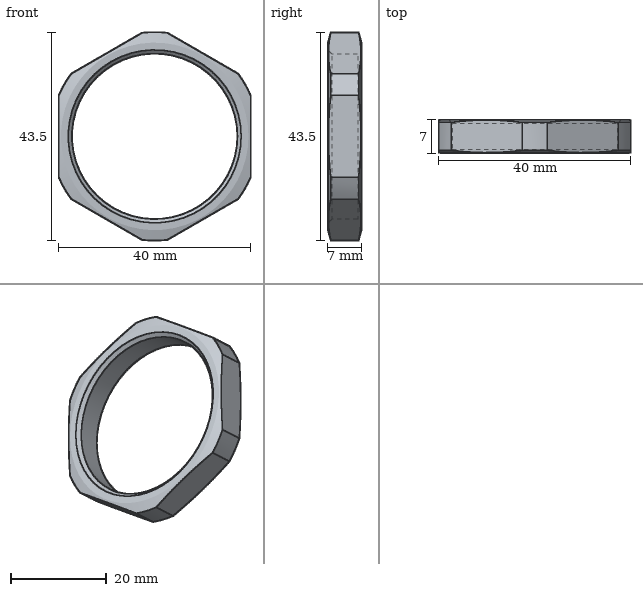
import cadquery as cq
import math

across_flats = 40.0
outer_diameter = 43.5
thickness = 7.0
bore_diameter = 34.4
bore_mouth_diameter = 36.0
face_diameter = 39.05
outer_chamfer_angle = 15.0

outer_radius = outer_diameter / 2
bore_radius = bore_diameter / 2
mouth_radius = bore_mouth_diameter / 2
face_radius = face_diameter / 2
half_thickness = thickness / 2
across_corners = across_flats / math.cos(math.radians(30))
outer_chamfer_depth = (outer_radius - face_radius) * math.tan(math.radians(outer_chamfer_angle))
bore_chamfer_depth = mouth_radius - bore_radius
rim_y = half_thickness - outer_chamfer_depth
bore_end_y = half_thickness - bore_chamfer_depth


def ring_blank():
    """Ring around the Y axis with both edges chamfered, inside and out."""
    return (
        cq.Workplane("XY")
        .moveTo(bore_radius, -bore_end_y)
        .lineTo(mouth_radius, -half_thickness)
        .lineTo(face_radius, -half_thickness)
        .lineTo(outer_radius, -rim_y)
        .lineTo(outer_radius, rim_y)
        .lineTo(face_radius, half_thickness)
        .lineTo(mouth_radius, half_thickness)
        .lineTo(bore_radius, bore_end_y)
        .close()
        .revolve(360, (0, 0, 0), (0, 1, 0))
    )


def hexagon_prism():
    """Hexagon along Y with corners at +Z and -Z and flats facing +X and -X."""
    return (
        cq.Workplane("XZ")
        .transformed(rotate=(0, 0, 90))
        .polygon(6, across_corners)
        .extrude(half_thickness, both=True)
    )


result = ring_blank().intersect(hexagon_prism())